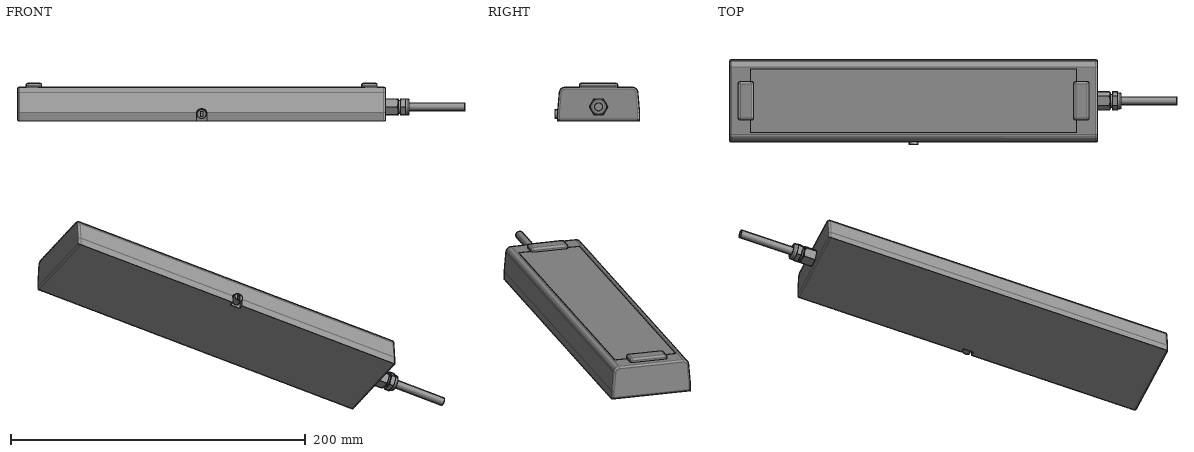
import cadquery as cq
import math

TOTAL_LENGTH = 303.5

HOUSING_LENGTH = 250.0
HOUSING_WIDTH = 56.0
HOUSING_HEIGHT = 23.0
BAND_HEIGHT = 5.8
DRAFT_ANGLE = 5.0
TOP_EDGE_RADIUS = 4.0
END_EDGE_RADIUS = 1.37

LABEL_LENGTH = 221.3
LABEL_WIDTH = 43.0
LABEL_DEPTH = 0.1

PAD_LENGTH = 10.5
PAD_WIDTH = 26.0
PAD_HEIGHT = 2.7
PAD_EDGE_RADIUS = 1.5
PAD_END_MARGIN = 5.8

SCREW_HEIGHT = 5.0
SCREW_DIAMETER = 6.0
SCREW_PROJECTION = 1.8
SCREW_SLOT_LENGTH = 3.5
SCREW_SLOT_WIDTH = 1.8
SCREW_SLOT_DEPTH = 1.2
NOTCH_WIDTH = 7.3
NOTCH_DEPTH = 3.0

GLAND_HEIGHT = 9.7
HEX_ACROSS_FLATS = 11.0
HEX_ACROSS_CORNERS = HEX_ACROSS_FLATS / math.cos(math.pi / 6)
HEX_EDGE_CHAMFER = 1.0
BODY_HEX_LENGTH = 8.5
NECK_LENGTH = 1.5
NECK_DIAMETER = 8.8
NUT_HEX_LENGTH = 3.3
COLLAR_LENGTH = 2.5
COLLAR_EDGE_RADIUS = 1.0
CABLE_DIAMETER = 5.5

MID_X = HOUSING_LENGTH / 2
FRONT_Y = -HOUSING_WIDTH / 2


def make_housing():
    half_width = HOUSING_WIDTH / 2
    draft_inset = (HOUSING_HEIGHT - BAND_HEIGHT) * math.tan(math.radians(DRAFT_ANGLE))
    top_half_width = half_width - draft_inset
    profile = [
        (-half_width, 0),
        (half_width, 0),
        (half_width, BAND_HEIGHT),
        (top_half_width, HOUSING_HEIGHT),
        (-top_half_width, HOUSING_HEIGHT),
        (-half_width, BAND_HEIGHT),
    ]
    bar = cq.Workplane("YZ").polyline(profile).close().extrude(HOUSING_LENGTH)
    bar = bar.faces(">Z").edges("|X").fillet(TOP_EDGE_RADIUS)
    bar = bar.faces("<X or >X").edges().fillet(END_EDGE_RADIUS)
    return bar.cut(label_field()).cut(screw_notch())


def label_field():
    return (
        cq.Workplane("XY", origin=(MID_X, 0, HOUSING_HEIGHT))
        .rect(LABEL_LENGTH, LABEL_WIDTH)
        .extrude(-LABEL_DEPTH)
    )


def screw_notch():
    """Arch around the screw, open at the bottom and at the side wall."""
    half_width = NOTCH_WIDTH / 2
    return (
        cq.Workplane("XZ", origin=(MID_X, FRONT_Y, 0))
        .moveTo(-half_width, 0)
        .lineTo(half_width, 0)
        .lineTo(half_width, SCREW_HEIGHT)
        .threePointArc((0, SCREW_HEIGHT + half_width), (-half_width, SCREW_HEIGHT))
        .close()
        .extrude(-NOTCH_DEPTH)
    )


def make_pad(center_x):
    pad = (
        cq.Workplane("XY", origin=(center_x, 0, HOUSING_HEIGHT))
        .rect(PAD_LENGTH, PAD_WIDTH)
        .extrude(PAD_HEIGHT)
    )
    return pad.edges("|Z or >Z").fillet(PAD_EDGE_RADIUS)


def make_screw():
    """Cylindrical head with an upright slot, seated on the back of the notch."""
    length = NOTCH_DEPTH + SCREW_PROJECTION
    head_plane = cq.Workplane("XZ", origin=(MID_X, FRONT_Y - SCREW_PROJECTION, SCREW_HEIGHT))
    head = head_plane.circle(SCREW_DIAMETER / 2).extrude(-length)
    slot = head_plane.rect(SCREW_SLOT_WIDTH, SCREW_SLOT_LENGTH).extrude(-SCREW_SLOT_DEPTH)
    return head.cut(slot)


def gland_plane(x):
    return cq.Workplane("YZ", origin=(x, 0, GLAND_HEIGHT))


def chamfered_hexagon(x, length):
    """Hexagon along X with flats at top and bottom and its outer corners turned down."""
    hexagon = gland_plane(x).polygon(6, HEX_ACROSS_CORNERS).extrude(length)
    turned = gland_plane(x).circle(HEX_ACROSS_CORNERS / 2).extrude(length)
    return hexagon.intersect(turned.faces(">X").edges().chamfer(HEX_EDGE_CHAMFER))


def make_cable_gland():
    neck_x = HOUSING_LENGTH + BODY_HEX_LENGTH
    nut_x = neck_x + NECK_LENGTH
    collar_x = nut_x + NUT_HEX_LENGTH
    cable_x = collar_x + COLLAR_LENGTH
    neck = gland_plane(neck_x).circle(NECK_DIAMETER / 2).extrude(NECK_LENGTH)
    nut = gland_plane(nut_x).polygon(6, HEX_ACROSS_CORNERS).extrude(NUT_HEX_LENGTH)
    collar = gland_plane(collar_x).circle(HEX_ACROSS_FLATS / 2).extrude(COLLAR_LENGTH)
    collar = collar.faces(">X").edges().fillet(COLLAR_EDGE_RADIUS)
    cable = gland_plane(cable_x).circle(CABLE_DIAMETER / 2).extrude(TOTAL_LENGTH - cable_x)
    body_hexagon = chamfered_hexagon(HOUSING_LENGTH, BODY_HEX_LENGTH)
    return body_hexagon.union(neck).union(nut).union(collar).union(cable)


housing = make_housing()
screw = make_screw()
cable_gland = make_cable_gland()

pad_offset = PAD_END_MARGIN + PAD_LENGTH / 2
pads = []
for pad_x in (pad_offset, HOUSING_LENGTH - pad_offset):
    pads.append(make_pad(pad_x).val())

result = cq.Compound.makeCompound([housing.val(), *pads, screw.val(), cable_gland.val()])